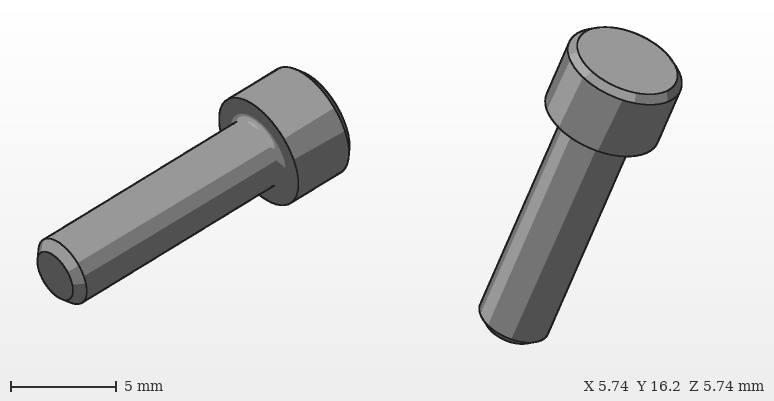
import cadquery as cq

head_diameter = 5.74
shank_diameter = 3.5052
head_height = shank_diameter
shank_length = 12.7
head_chamfer = 0.35
tip_chamfer = 0.46
neck_fillet = 0.265


def make_head():
    """Cylindrical head with the rim of its outer end chamfered."""
    head = cq.Workplane("XZ").circle(head_diameter / 2).extrude(-head_height)
    return head.faces(">Y").chamfer(head_chamfer)


def make_shank():
    """Plain cylindrical shank with a chamfered tip."""
    shank = cq.Workplane("XZ").circle(shank_diameter / 2).extrude(shank_length)
    return shank.faces("<Y").chamfer(tip_chamfer)


def round_neck(body):
    """Fillet the inner corner where the shank meets the underside of the head."""
    underside_point = (head_diameter / 2, 0, 0)
    underside = body.faces(cq.selectors.NearestToPointSelector(underside_point))
    neck_edge = underside.edges(cq.selectors.RadiusNthSelector(0))
    return neck_edge.fillet(neck_fillet)


screw = make_head().union(make_shank())
result = round_neck(screw)